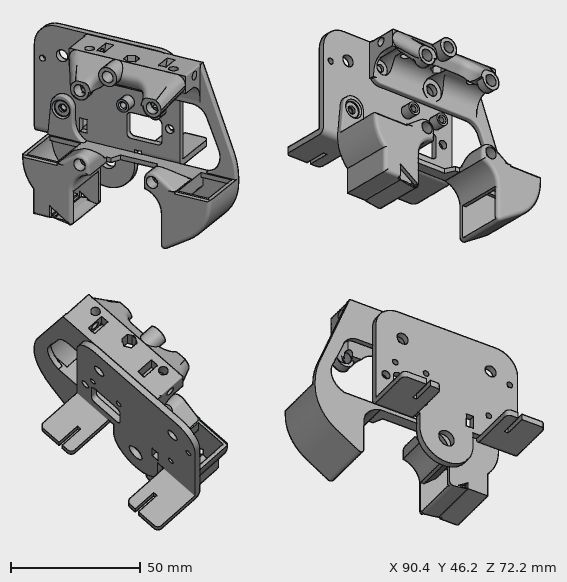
import cadquery as cq
import math


screw_x = 12.27
screw_pitch = 40.0
screw_z = 35.8
fan_x = 48.77
fan_z = 19.6
fan_pitch = 32.0
fan_left = fan_x - fan_pitch / 2
fan_right = fan_x + fan_pitch / 2
fan_low = fan_z - fan_pitch / 2
fan_high = fan_z + fan_pitch / 2

plate_width = 64.33
plate_height = 48.0
sheet = 2.65
bend_inner = 0.2
bend_outer = bend_inner + sheet
corner_radius = 10.0
tab_width = 17.1
tab_reach = 23.0
tab_corner = 2.0
tab_slot_width = 1.7
tab_slot_depth = 10.1
tab_slot_places = (11.45, 53.0)
lobe_radius = 12.0
lobe_x = 32.33
lobe_z = -4.0
lobe_hole = 7.0
lobe_hole_z = -4.5
window_x, window_z = 48.63, 12.97
window_width, window_height, window_corner = 15.53, 11.13, 2.0
key_x, key_z = 21.67, 7.97
key_width, key_height = 3.2, 5.8
standoff_places = [(41.6, 23.15), (55.6, 23.15)]
standoff_diameter = 5.35
standoff_height = 4.65
standoff_hole, standoff_mouth = 2.5, 3.6
screw_hole = 5.0
small_hole, small_hole_place = 2.5, (3.6, 32.67)
side_hole, side_hole_place = 3.6, (59.8, 15.4)

depth = 23.2
flange = 2.35
wall = 1.6
edge_round = 1.5
bracket_left = 7.05
bracket_right = 90.35
shelf_top = 1.73
shelf_thickness = 2.0
shelf_bottom = shelf_top - shelf_thickness

block_left, block_right = 23.0, 74.6
block_top = 47.75
block_round = 0.6
block_bottom = 40.3
block_depth = 14.0
block_cove = 6.5
cove_foot_z = 31.7
cove_foot_run = 0.35

boss_radius = 4.0
boss_hole, boss_bore, boss_bore_depth = 3.4, 5.0, 5.0


def along_y(outline, front, back):
    """Prism of an XZ outline, reaching from front to back as distances ahead of the plate."""
    return outline.extrude(front - back).translate((0, -back, 0))


def xz():
    return cq.Workplane("XZ")


def pin(diameter, place, front, back):
    return along_y(xz().center(*place).circle(diameter / 2), front, back)


def tangent_point(start, centre, radius, turn):
    """Where a line from start touches a circle; turn is 1 or -1 and picks the side it touches."""
    run, rise = start[0] - centre[0], start[1] - centre[1]
    angle = math.atan2(rise, run) + turn * math.acos(radius / math.hypot(run, rise))
    return centre[0] + radius * math.cos(angle), centre[1] + radius * math.sin(angle)


def countersink(inner, mouth, place, front):
    """45 degree flare from the inner diameter to the mouth diameter at the front."""
    drop = (mouth - inner) / 2
    cone = cq.Solid.makeCone(
        mouth / 2, inner / 2, drop, pnt=cq.Vector(place[0], -front, place[1]), dir=cq.Vector(0, 1, 0)
    )
    return cq.Workplane(cone)


def make_tab(left):
    bend = (
        cq.Workplane("YZ")
        .moveTo(0, bend_outer)
        .radiusArc((bend_outer, 0), -bend_outer)
        .lineTo(tab_reach, 0)
        .lineTo(tab_reach, sheet)
        .lineTo(bend_outer, sheet)
        .radiusArc((sheet, bend_outer), bend_inner)
        .close()
        .extrude(tab_width)
        .translate((left, 0, 0))
    )
    return bend.faces(">Y").edges("|Z").fillet(tab_corner)


def make_plate():
    sheet_body = (
        xz().rect(plate_width, plate_height - bend_outer).extrude(-sheet)
        .translate((plate_width / 2, 0, (plate_height + bend_outer) / 2))
        .edges("|Y and >Z").fillet(corner_radius)
    )
    lobe = (
        xz().moveTo(lobe_x - lobe_radius, bend_outer)
        .lineTo(lobe_x - lobe_radius, lobe_z)
        .threePointArc((lobe_x, lobe_z - lobe_radius), (lobe_x + lobe_radius, lobe_z))
        .lineTo(lobe_x + lobe_radius, bend_outer)
        .close().extrude(-sheet)
    )
    plate = sheet_body.union(lobe)
    for left in (0, plate_width - tab_width):
        plate = plate.union(make_tab(left))
    for place in standoff_places:
        plate = plate.union(pin(standoff_diameter, place, standoff_height, 0))
        plate = plate.cut(pin(standoff_hole, place, standoff_height, -sheet))
        plate = plate.cut(countersink(standoff_hole, standoff_mouth, place, standoff_height))
    plate = plate.cut(pin(ear_pilot, ear_hole_place, 0, -sheet))
    for place_x in tab_slot_places:
        plate = plate.cut(
            cq.Workplane().box(tab_slot_width, 2 * tab_slot_depth, 2 * sheet)
            .translate((place_x, tab_reach, sheet / 2))
        )
    for diameter, place in (
        (screw_hole, (screw_x, screw_z)),
        (screw_hole, (screw_x + screw_pitch, screw_z)),
        (small_hole, small_hole_place),
        (side_hole, side_hole_place),
        (lobe_hole, (lobe_x, lobe_hole_z)),
    ):
        plate = plate.cut(pin(diameter, place, 0, -sheet))
    window = (
        along_y(xz().center(window_x, window_z).rect(window_width, window_height), 0, -sheet)
        .edges("|Y").fillet(window_corner)
    )
    key = along_y(xz().center(key_x, key_z).rect(key_width, key_height), 0, -sheet)
    return plate.cut(window).cut(key)


mouth_edge = 19.5
scoop_radius = 9.0
scoop_x = mouth_edge - scoop_radius
scoop_z = -9.27
lug_radius = 4.0
lug_side = fan_pitch / 2 - lug_radius
lug_foot = 26.0
duct_bottom = -24.18
tip_round = 1.6
inlet_inner = 26.6
throat_z = -4.5
inlet_back = 3.05
inlet_front = 21.5
outlet_back = 1.6

right_sweep = 20.6
right_sweep_end = 58.2

left_base_x = 11.87
left_base_top = -11.93
left_base_bottom = -22.75
left_bulge = (8.4, -6.5)
left_inner_bulge = (9.95, -6.0)
lip_bulge = (24.6, -23.55)
lip_start = 20.0
notch_x = 19.53
notch_top = -17.13
notch_end_x, notch_end_z = 28.0, -22.8
window_inset, window_top = 1.4, -19.9
lip_thickness = 0.8


def mirror_x(side, distance):
    """X at a distance from the fan centre; side is -1 for left and 1 for right."""
    return fan_x + side * distance


def inner_edge(outline, side):
    """Continue an outline from the outlet tip up around the scoop and over the fan lug."""
    turn = math.pi / 4
    foot = (mirror_x(side, lug_foot), shelf_top)
    lug = (mirror_x(side, fan_pitch / 2), fan_low)
    scoop_end_z = scoop_z + math.sqrt(scoop_radius**2 - (lug_side - scoop_x) ** 2)
    return (
        outline.lineTo(mirror_x(side, mouth_edge), scoop_z)
        .threePointArc(
            (mirror_x(side, scoop_x + scoop_radius * math.cos(turn)),
             scoop_z + scoop_radius * math.sin(turn)),
            (mirror_x(side, lug_side), scoop_end_z),
        )
        .lineTo(mirror_x(side, lug_side), fan_low)
        .threePointArc(
            (mirror_x(side, fan_pitch / 2 - lug_radius * math.cos(turn)),
             fan_low + lug_radius * math.sin(turn)),
            tangent_point(foot, lug, lug_radius, side),
        )
        .lineTo(*foot)
    )


def inner_cavity(outline, side):
    """Continue a cavity outline from outside the outlet up to the inlet's inner wall."""
    return (
        outline.lineTo(mirror_x(side, mouth_edge - wall), scoop_z)
        .lineTo(mirror_x(side, mouth_edge + wall), scoop_z)
        .lineTo(mirror_x(side, inlet_inner), throat_z)
        .lineTo(mirror_x(side, inlet_inner), shelf_top)
        .close()
    )


def left_outline():
    outline = (
        xz().moveTo(bracket_left, shelf_top)
        .lineTo(bracket_left, shelf_bottom)
        .threePointArc(left_bulge, (left_base_x, left_base_top))
        .lineTo(left_base_x, left_base_bottom)
        .lineTo(lip_start, left_base_bottom)
        .threePointArc(lip_bulge, (mirror_x(-1, mouth_edge), duct_bottom))
    )
    return inner_edge(outline, -1).close()


def left_cavity():
    outline = (
        xz().moveTo(bracket_left + wall, shelf_top)
        .lineTo(bracket_left + wall, shelf_bottom)
        .threePointArc(left_inner_bulge, (left_base_x + wall, left_base_top + 1))
        .lineTo(left_base_x + wall, left_base_bottom + wall)
        .lineTo(lip_start, left_base_bottom + wall)
        .lineTo(lip_start, left_base_bottom + lip_thickness)
        .lineTo(mirror_x(-1, mouth_edge + tip_round), duct_bottom + lip_thickness)
        .lineTo(mirror_x(-1, mouth_edge - wall), duct_bottom + lip_thickness)
    )
    return inner_cavity(outline, -1)


def right_sweep_point(radius, degrees):
    """Point below the horizontal on a circle about the centre of the right duct's outer round."""
    angle = math.radians(degrees)
    return (
        bracket_right - right_sweep + radius * math.cos(angle),
        shelf_bottom - radius * math.sin(angle),
    )


def right_tip_z(radius, x):
    """Height at which the straight slope that follows the outer round reaches x."""
    end_x, end_z = right_sweep_point(radius, right_sweep_end)
    return end_z - (end_x - x) / math.tan(math.radians(right_sweep_end))


def start_right(radius):
    """Outline from the inlet rim down the outer round to the start of the straight slope."""
    return (
        xz().moveTo(bracket_right - right_sweep + radius, shelf_top)
        .lineTo(*right_sweep_point(radius, 0))
        .threePointArc(
            right_sweep_point(radius, right_sweep_end / 2),
            right_sweep_point(radius, right_sweep_end),
        )
    )


def right_outline():
    tip_x = mirror_x(1, mouth_edge)
    outline = start_right(right_sweep).lineTo(tip_x, right_tip_z(right_sweep, tip_x))
    return inner_edge(outline, 1).close()


def right_cavity():
    outside_x = mirror_x(1, mouth_edge - wall)
    radius = right_sweep - wall
    outline = start_right(radius).lineTo(outside_x, right_tip_z(radius, outside_x))
    return inner_cavity(outline, 1)


lug_back = 16.7
lug_ramp_foot = 9.8
rim_size = 0.7
rim_tolerance = 0.01


def make_passage(cavity):
    """Air passage whose back wall is thicker at the inlet, leaving a ledge under the rim."""
    ledge = cq.Workplane().box(
        bracket_right, inlet_back, shelf_thickness, centered=(False, False, False)
    ).translate((0, -inlet_back, shelf_bottom))
    return along_y(cavity, inlet_front, outlet_back).cut(ledge)


def rim_bevel(side):
    """Bevel of the inlet's front rim, from the lug's foot to the outer corner."""
    run = fan_x - lug_foot - bracket_left
    return (
        cq.Workplane("YZ")
        .polyline([(-depth, shelf_top - rim_size), (-depth, shelf_top), (-depth + rim_size, shelf_top)])
        .close().extrude(side * run).translate((mirror_x(side, lug_foot), 0, 0))
    )


def make_duct(outline, cavity, side):
    tip = cq.selectors.NearestToPointSelector((mirror_x(side, mouth_edge), -depth / 2, duct_bottom))
    duct = along_y(outline, depth, 0).edges("|Y").edges(tip).fillet(tip_round)
    front_edges = [
        edge for edge in duct.faces("<Y").edges().vals()
        if abs(edge.Center().z - shelf_top) > rim_tolerance
    ]
    duct = duct.newObject(front_edges).fillet(edge_round)
    behind_lug = (
        cq.Workplane("YZ")
        .polyline([
            (0, shelf_top), (-lug_ramp_foot, shelf_top), (-lug_back, fan_low + lug_radius),
            (-lug_back, block_top), (0, block_top),
        ])
        .close().extrude(bracket_right)
    )
    duct = duct.cut(behind_lug).cut(make_passage(cavity)).cut(rim_bevel(side))
    place = (mirror_x(side, fan_pitch / 2), fan_low)
    return duct.cut(pin(boss_hole, place, depth, 0)).cut(
        pin(boss_bore, place, depth, depth - boss_bore_depth)
    )


def front_notch():
    """Corner cut out of the left duct's front wall above the lip, down through its lower edge."""
    below = duct_bottom - lip_thickness
    return xz().polyline([
        (notch_x, notch_top), (notch_end_x, notch_end_z), (notch_end_x, below), (notch_x, below),
    ]).close()


def back_window():
    """Smaller triangle through the left duct's back wall, just above the lip."""
    slope = (notch_end_z - notch_top) / (notch_end_x - notch_x)
    left = notch_x + window_inset
    right = left + (left_base_bottom - window_top) / slope
    return xz().polyline([(left, window_top), (right, left_base_bottom), (left, left_base_bottom)]).close()


def make_left_duct():
    duct = make_duct(left_outline(), left_cavity(), -1)
    duct = duct.cut(along_y(front_notch(), depth, inlet_front))
    return duct.cut(along_y(back_window(), depth, 0))


shelf_reach = 8.7
shelf_waist = 4.6
waist_half = 8.1
waist_end_half = 10.0


def make_shelf():
    shelf = along_y(
        xz().center((bracket_left + wall + bracket_right - wall) / 2, (shelf_top + shelf_bottom) / 2)
        .rect(2 * lug_foot, shelf_thickness), shelf_reach, 0,
    )
    return shelf.cut(
        cq.Workplane()
        .polyline([
            (fan_x - waist_end_half, -shelf_reach), (fan_x - waist_half, -shelf_waist),
            (fan_x + waist_half, -shelf_waist), (fan_x + waist_end_half, -shelf_reach),
        ])
        .close().extrude(2 * shelf_thickness, both=True)
    )


flange_low = 29.73
flange_corner = 4.5
flange_round = 0.6
arm_outer_bend = (88.6, 11.6)
arm_outer_bulge = (89.9, 6.7)
arm_inner_bulge = (82.3, 6.4)
arm_inner_low = (82.5, 12.7)
arm_inner_high = (77.2, 25.4)
arm_elbow = (74.6, 28.6)
arm_elbow_x, arm_foot_x = 70.2, 77.0
ear_side_z, ear_cove, ear_foot_x = 9.7, (19.6, 4.9), 23.2
ear_hole_place = (13.13, 13.93)
ear_x, ear_z, ear_radius = 13.33, 14.7, 5.0
ear_hole, ear_pilot = 3.4, 2.5
ear_bore, ear_bore_mouth, ear_bore_depth = 6.7, 8.0, 1.2


def make_arm():
    """Flat frame that carries the top block and runs down beside the fan to the right duct."""
    frame = along_y(
        xz().moveTo(block_left, block_top)
        .lineTo(block_right, block_top)
        .lineTo(*arm_outer_bend)
        .threePointArc(arm_outer_bulge, (bracket_right, shelf_top))
        .lineTo(bracket_right, shelf_bottom)
        .lineTo(arm_foot_x, shelf_bottom)
        .lineTo(arm_foot_x, shelf_top)
        .threePointArc(arm_inner_bulge, arm_inner_low)
        .lineTo(*arm_inner_high)
        .threePointArc(arm_elbow, (arm_elbow_x, flange_low))
        .lineTo(block_left + flange_corner, flange_low)
        .radiusArc((block_left, flange_low + flange_corner), flange_corner)
        .close(), flange, 0,
    )
    return frame.faces("<Y").edges().fillet(flange_round)


def make_ear():
    """Screw ear above the left duct."""
    ear = along_y(
        xz().moveTo(bracket_left, shelf_bottom)
        .lineTo(bracket_left, shelf_top)
        .lineTo(*tangent_point((bracket_left, shelf_top), (ear_x, ear_z), ear_radius, -1))
        .threePointArc((ear_x, ear_z + ear_radius), (ear_x + ear_radius, ear_z))
        .lineTo(ear_x + ear_radius, ear_side_z)
        .threePointArc(ear_cove, (ear_foot_x, shelf_top))
        .lineTo(ear_foot_x, shelf_bottom)
        .close(), flange, 0,
    )
    ear = ear.faces("<Y").edges().fillet(flange_round)
    ear = ear.cut(pin(ear_hole, ear_hole_place, flange, 0))
    ear = ear.cut(pin(ear_bore, ear_hole_place, flange, flange - ear_bore_depth))
    return ear.cut(countersink(ear_bore, ear_bore_mouth, ear_hole_place, flange))


boss_top = fan_high + boss_radius
boss_low = fan_high - boss_radius
boss_back = 19.4
crown_place, crown_front = (44.53, 43.73), 22.0
crown_bore = 4.8
arm_root = 21.7
arch_depth, arch_z = 15.5, 37.9
arch_round, arch_length = 6.0, 24.0
arch_half = 11.2
arch_flat = arch_half - arch_round
nose_round = 3.0
hood_sink = 0.1
hood_root = 1.0
stub_radius, filling_radius = 3.9, 3.8

nut_slot_width, nut_slot_depth, nut_slot_ramp = 3.4, 6.0, 2.0
nut_slot_offset, nut_slot_back, nut_slot_front = 13.55, -3.4, -10.6
side_screw, side_screw_y, side_screw_z = 3.6, -6.95, 45.0
drop_hole, drop_hole_offset, top_hole_y = 3.6, 18.5, -10.5
drop_hole_tilt = 15
hex_flats = 5.3
corner_screw_place = (27.4, 37.3)
corner_screw_hole, corner_screw_bore = 3.2, 7.0
access_bore = 9.4
bore_floor = 1.2


def make_block():
    block = (
        cq.Workplane("YZ")
        .moveTo(0, block_top)
        .lineTo(-block_depth, block_top)
        .lineTo(-block_depth, block_bottom)
        .lineTo(-flange - block_cove, block_bottom)
        .radiusArc((-flange - cove_foot_run, block_bottom - block_cove + cove_foot_run), block_cove)
        .lineTo(-flange, cove_foot_z)
        .lineTo(0, cove_foot_z)
        .close()
        .extrude(block_right - block_left)
        .translate((block_left, 0, 0))
        .edges("|Y and >Z").fillet(block_round)
    )
    for side in (-1, 1):
        block = block.cut(
            cq.Workplane("YZ").polyline([
                (nut_slot_back, block_top), (nut_slot_back - nut_slot_ramp, block_top - nut_slot_depth),
                (nut_slot_front, block_top - nut_slot_depth), (nut_slot_front, block_top),
            ])
            .close().extrude(nut_slot_width / 2, both=True)
            .translate((mirror_x(side, nut_slot_offset), 0, 0))
        )
        side_length = (block_right - block_left) / 2 - nut_slot_offset
        block = block.cut(
            cq.Workplane("YZ").center(side_screw_y, side_screw_z).circle(side_screw / 2)
            .extrude(side * side_length).translate((mirror_x(side, nut_slot_offset), 0, 0))
        )
        block = block.cut(
            cq.Workplane().circle(drop_hole / 2).extrude(block_depth, both=True)
            .rotate((0, 0, 0), (0, 1, 0), side * drop_hole_tilt)
            .translate((mirror_x(side, drop_hole_offset), top_hole_y, block_top))
        )
    hexagon = (
        cq.Workplane().polygon(6, hex_flats / math.cos(math.pi / 6)).extrude(block_top)
        .rotate((0, 0, 0), (0, 0, 1), 30).translate((fan_x, top_hole_y, 0))
    )
    return block.cut(hexagon)


def make_oblique_arm(side, radius, front, back):
    """Round arm slanting from an upper fan boss back towards the block's front corner."""
    place = (mirror_x(side, fan_pitch / 2), fan_high)
    face = pin(2 * radius, place, front + 1, front).faces(">Y").val()
    run = cq.Vector(side * (arm_root - fan_pitch / 2), front - back, block_top - boss_top)
    return cq.Workplane(cq.Solid.extrudeLinear(face, run))


def make_hood():
    """Sloping web between the two arms, arched over the fan and rounded along the arch."""
    slab = (
        cq.Workplane("YZ")
        .polyline([
            (-block_depth + hood_root, block_top - hood_sink),
            (-block_depth, block_top - hood_sink), (-depth, boss_top - hood_sink), (-depth, boss_low),
            (-boss_back, boss_low), (-block_depth, block_bottom),
            (-block_depth + hood_root, block_bottom),
        ])
        .close().extrude(block_right - block_left).translate((block_left, 0, 0))
    )
    span = along_y(
        xz().polyline([
            (mirror_x(-1, arm_root), block_top), (mirror_x(1, arm_root), block_top),
            (fan_right, fan_high), (fan_left, fan_high),
        ])
        .close(), depth, block_depth - hood_root,
    )
    slope = cq.Vector(0, depth - block_depth, block_top - boss_top).normalized()
    normal = cq.Vector(1, 0, 0).cross(slope)
    origin = cq.Vector(fan_x, -arch_depth, arch_z)
    rise = (cq.Vector(fan_x, -block_depth, block_top - hood_sink) - origin).dot(normal)
    arch = (
        cq.Workplane(cq.Plane(origin=origin, xDir=(1, 0, 0), normal=normal))
        .moveTo(-arch_half, -arch_length)
        .lineTo(-arch_half, -arch_round)
        .radiusArc((-arch_flat, 0), arch_round)
        .lineTo(arch_flat, 0)
        .radiusArc((arch_half, -arch_round), arch_round)
        .lineTo(arch_half, -arch_length)
        .lineTo(arch_length, -arch_length)
        .lineTo(arch_length, arch_length)
        .lineTo(-arch_length, arch_length)
        .lineTo(-arch_length, -arch_length)
        .close().extrude(rise + arch_length).translate(normal * -arch_length)
    )
    opening = cq.selectors.BoxSelector(
        (fan_x - arch_half - 1, -2 * depth, -block_top),
        (fan_x + arch_half + 1, -arch_depth - 1, block_top),
    )
    arch = arch.faces(">(0, -1, 1)").edges(opening).fillet(nose_round)
    return slab.intersect(span).intersect(arch)


def make_upper_boss(side):
    """Slanting arm, the straight boss under its tip and the filling behind that boss."""
    stub = pin(2 * stub_radius, (mirror_x(side, fan_pitch / 2), fan_high), depth, boss_back)
    arm = make_oblique_arm(side, boss_radius, depth, block_depth)
    filling = make_oblique_arm(side, filling_radius, boss_back + hood_root, block_depth - hood_root)
    return arm.union(stub).union(filling)


def bore_bosses(bracket):
    for side in (-1, 1):
        place = (mirror_x(side, fan_pitch / 2), fan_high)
        bracket = bracket.cut(pin(boss_hole, place, depth, depth - 2 * boss_bore_depth))
        bracket = bracket.cut(pin(boss_bore, place, depth, depth - boss_bore_depth))
    return bracket.cut(pin(crown_bore, crown_place, crown_front, block_depth))


def bore_screw_seats(bracket):
    """Mounting screw holes through the flange, with head clearance cut into the block's cove."""
    place = (screw_x + screw_pitch, screw_z)
    bracket = bracket.cut(pin(screw_hole, place, flange, 0))
    bracket = bracket.cut(pin(access_bore, place, block_depth, flange))
    bracket = bracket.cut(pin(corner_screw_hole, corner_screw_place, flange, 0))
    return bracket.cut(pin(corner_screw_bore, corner_screw_place, block_depth, bore_floor))


def make_bracket():
    bracket = make_arm().union(make_ear()).union(make_shelf())
    bracket = bracket.union(make_left_duct())
    bracket = bracket.union(make_duct(right_outline(), right_cavity(), 1))
    bracket = bracket.union(make_block()).union(make_hood())
    for side in (-1, 1):
        bracket = bracket.union(make_upper_boss(side))
    bracket = bracket.union(pin(2 * boss_radius, crown_place, crown_front, block_depth))
    return bore_screw_seats(bore_bosses(bracket))


plate = make_plate()
bracket = make_bracket()
result = cq.Compound.makeCompound([plate.val(), bracket.val()])